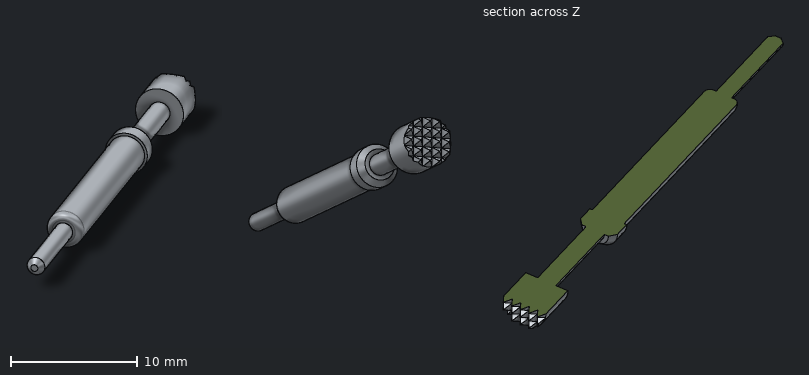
import cadquery as cq
import math

total_length = 38.0
head_diameter = 4.0
head_length = 3.95
plunger_diameter = 1.75
collar_diameter = 3.5
collar_start = 11.02
collar_end = 13.0
collar_chamfer_length = 0.57
collar_chamfer_depth = 0.5
body_diameter = 3.05
body_end = 30.02
body_rounding = 0.57
tail_diameter = 1.5
tail_tip_diameter = 0.57
tail_tip_length = 0.4

teeth_across_head = 5
groove_angle = 60.0

head_radius = head_diameter / 2
plunger_radius = plunger_diameter / 2
collar_radius = collar_diameter / 2
body_radius = body_diameter / 2
tail_radius = tail_diameter / 2
tail_tip_radius = tail_tip_diameter / 2
tooth_pitch = head_diameter / teeth_across_head
grooves_per_direction = teeth_across_head + 1
tooth_height = tooth_pitch / 2 / math.tan(math.radians(groove_angle / 2))
arc_midpoint_offset = 1 - math.sqrt(0.5)


def turned_pin():
    """Revolve the half outline (radius, Y) of the pin about the Y axis."""
    body_arc_inset = body_rounding * arc_midpoint_offset
    return (
        cq.Workplane("XY")
        .moveTo(0, 0)
        .lineTo(head_radius, 0)
        .lineTo(head_radius, -head_length)
        .lineTo(plunger_radius, -head_length)
        .lineTo(plunger_radius, -collar_start)
        .lineTo(collar_radius - collar_chamfer_depth, -collar_start)
        .lineTo(collar_radius, -collar_start - collar_chamfer_length)
        .lineTo(collar_radius, -collar_end)
        .lineTo(body_radius, -collar_end)
        .lineTo(body_radius, -body_end + body_rounding)
        .threePointArc(
            (body_radius - body_arc_inset, -body_end + body_arc_inset),
            (body_radius - body_rounding, -body_end),
        )
        .lineTo(tail_radius, -body_end)
        .lineTo(tail_radius, -total_length + tail_tip_length)
        .lineTo(tail_tip_radius, -total_length)
        .lineTo(0, -total_length)
        .close()
        .revolve(360, (0, 0, 0), (0, 1, 0))
    )


def groove_set():
    """V grooves running along Z, spaced across X, with their open tops meeting at the tooth tips."""
    half_span = grooves_per_direction * tooth_pitch / 2
    outline = cq.Workplane("XY").moveTo(-half_span, tooth_height)
    for index in range(grooves_per_direction):
        left_tip = -half_span + index * tooth_pitch
        outline = outline.lineTo(left_tip, 0)
        outline = outline.lineTo(left_tip + tooth_pitch / 2, -tooth_height)
    return (
        outline.lineTo(half_span, 0)
        .lineTo(half_span, tooth_height)
        .close()
        .extrude(head_diameter, both=True)
    )


grooves_along_z = groove_set()
grooves_along_x = grooves_along_z.rotate((0, 0, 0), (0, 1, 0), 90)
result = turned_pin().cut(grooves_along_z).cut(grooves_along_x)